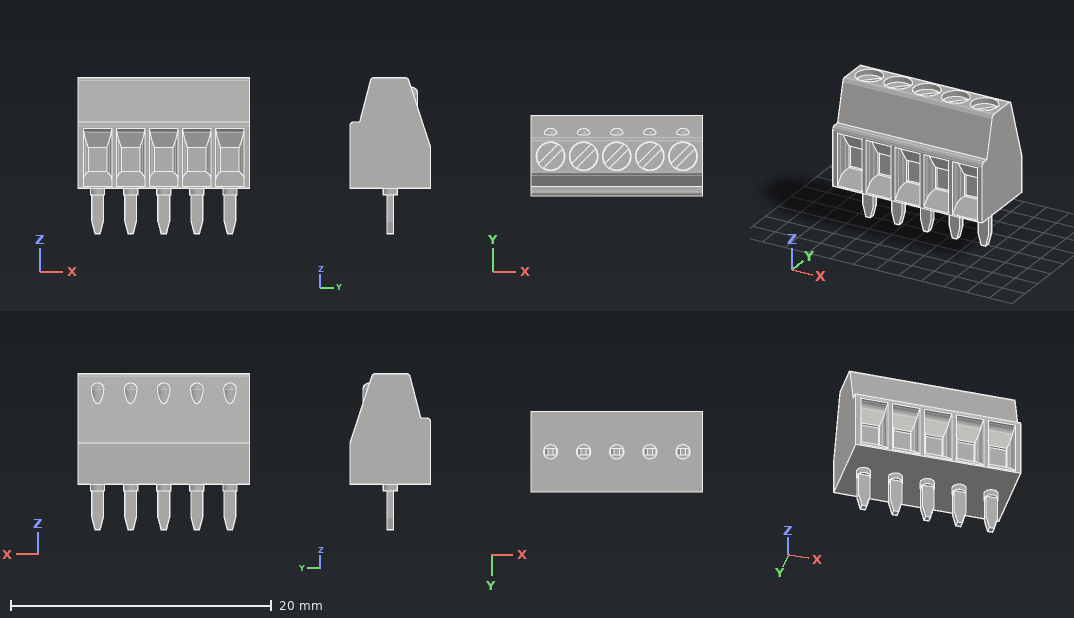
import cadquery as cq
import math

length = 13.16
depth = 6.2
height = 8.5
edge_radius = 0.3
front_y = -depth / 2
back_y = depth / 2
shelf_height = 5.09
shelf_depth = 0.75
top_front_y = front_y + 1.63
top_back_y = front_y + 4.45
back_wall_height = 3.17

terminal_count = 5
pitch = 2.54
terminal_xs = [(i - (terminal_count - 1) / 2) * pitch for i in range(terminal_count)]

recess_y = -0.04
recess_diameter = 2.2
screw_diameter = 2.1
recess_depth = 0.47
slot_width = 0.5
slot_depth = 0.51
slot_angle = 45.0

mouth_width = 2.18
mouth_bottom = 0.13
mouth_top = 4.6
hole_width = 1.42
hole_bottom = 1.29
hole_top = 3.13
hole_depth = 0.25
funnel_depth = 1.15
cheek_radius = 0.6
cheek_angle = 45.0
ceiling_radius = 0.5
ceiling_angle = 71.0

post_diameter = 1.0
post_y = 1.6
post_shoulder = 7.28
post_base = 3.95

collar_diameter = 1.09
collar_height = 0.5
pin_length = 3.5
pin_width = 0.92
pin_thickness = 0.51
pin_tip_width = 0.4
pin_taper_height = 1.01


def housing():
    outline = [
        (front_y, 0),
        (front_y, shelf_height),
        (front_y + shelf_depth, shelf_height),
        (top_front_y, height),
        (top_back_y, height),
        (back_y, back_wall_height),
        (back_y, 0),
    ]
    body = cq.Workplane("YZ").polyline(outline).close().extrude(length / 2, both=True)
    rounded_edges = [(top_front_y, height), (top_back_y, height), (front_y, shelf_height)]
    for y, z in rounded_edges:
        body = body.edges(cq.selectors.NearestToPointSelector((0, y, z))).fillet(edge_radius)
    return body


def bend(radius, angle):
    """Sideways and lengthwise reach of an arc that starts straight and turns by angle."""
    turn = math.radians(angle)
    return radius * (1 - math.cos(turn)), radius * math.sin(turn)


def funnel():
    throat_y = front_y + funnel_depth

    half_mouth = mouth_width / 2
    half_hole = hole_width / 2
    arc_in, arc_run = bend(cheek_radius, cheek_angle)
    mid_in, mid_run = bend(cheek_radius, cheek_angle / 2)
    arc_end_x = half_mouth - arc_in
    arc_end_y = throat_y - (arc_end_x - half_hole) / math.tan(math.radians(cheek_angle))
    arc_start_y = arc_end_y - arc_run
    arc_mid = (half_mouth - mid_in, arc_start_y + mid_run)
    plan = (
        cq.Workplane("XY")
        .moveTo(-half_mouth, front_y)
        .lineTo(half_mouth, front_y)
        .lineTo(half_mouth, arc_start_y)
        .threePointArc(arc_mid, (arc_end_x, arc_end_y))
        .lineTo(half_hole, throat_y)
        .lineTo(-half_hole, throat_y)
        .lineTo(-arc_end_x, arc_end_y)
        .threePointArc((-arc_mid[0], arc_mid[1]), (-half_mouth, arc_start_y))
        .close()
        .extrude(height)
    )

    drop, ceiling_run = bend(ceiling_radius, ceiling_angle)
    mid_drop, mid_ceiling_run = bend(ceiling_radius, ceiling_angle / 2)
    slope_top = mouth_top - drop
    slope_y = throat_y - (slope_top - hole_top) / math.tan(math.radians(ceiling_angle))
    ceiling_start_y = slope_y - ceiling_run
    side = (
        cq.Workplane("YZ")
        .moveTo(front_y, mouth_bottom)
        .lineTo(throat_y, hole_bottom)
        .lineTo(throat_y, hole_top)
        .lineTo(slope_y, slope_top)
        .threePointArc(
            (ceiling_start_y + mid_ceiling_run, mouth_top - mid_drop), (ceiling_start_y, mouth_top)
        )
        .lineTo(front_y, mouth_top)
        .close()
        .extrude(mouth_width, both=True)
    )
    return plan.intersect(side)


def wire_entry():
    hole = cq.Workplane("XY").box(
        hole_width, hole_depth, hole_top - hole_bottom, centered=(True, False, False)
    )
    return funnel().union(hole.translate((0, front_y + funnel_depth, hole_bottom)))


def screw_recess():
    """Recess above the screw, the thin clearance around its head and its slot."""
    slot_bottom = recess_depth + slot_depth
    recess = cq.Workplane("XY").circle(recess_diameter / 2).extrude(-slot_bottom)
    head = (
        cq.Workplane("XY")
        .workplane(offset=-slot_bottom)
        .circle(screw_diameter / 2)
        .extrude(slot_depth)
    )
    slot = (
        cq.Workplane("XY")
        .rect(2 * screw_diameter, slot_width)
        .extrude(-slot_bottom)
        .rotate((0, 0, 0), (0, 0, 1), slot_angle)
    )
    return recess.cut(head.cut(slot)).translate((0, recess_y, height))


def domed_post():
    radius = post_diameter / 2
    shaft = cq.Workplane("XY").circle(radius).extrude(post_shoulder - post_base)
    dome = cq.Workplane("XY").sphere(radius).translate((0, 0, post_shoulder - post_base))
    return shaft.union(dome).translate((0, post_y, post_base))


def solder_pin():
    collar = cq.Workplane("XY").circle(collar_diameter / 2).extrude(-collar_height)
    taper_start = pin_taper_height - pin_length
    blade = (
        cq.Workplane("XZ")
        .polyline([
            (-pin_width / 2, 0),
            (pin_width / 2, 0),
            (pin_width / 2, taper_start),
            (pin_tip_width / 2, -pin_length),
            (-pin_tip_width / 2, -pin_length),
            (-pin_width / 2, taper_start),
        ])
        .close()
        .extrude(pin_thickness / 2, both=True)
    )
    return collar.union(blade)


result = housing()
for x in terminal_xs:
    result = result.union(domed_post().translate((x, 0, 0)))
    result = result.union(solder_pin().translate((x, 0, 0)))
    result = result.cut(screw_recess().translate((x, 0, 0)))
    result = result.cut(wire_entry().translate((x, 0, 0)))